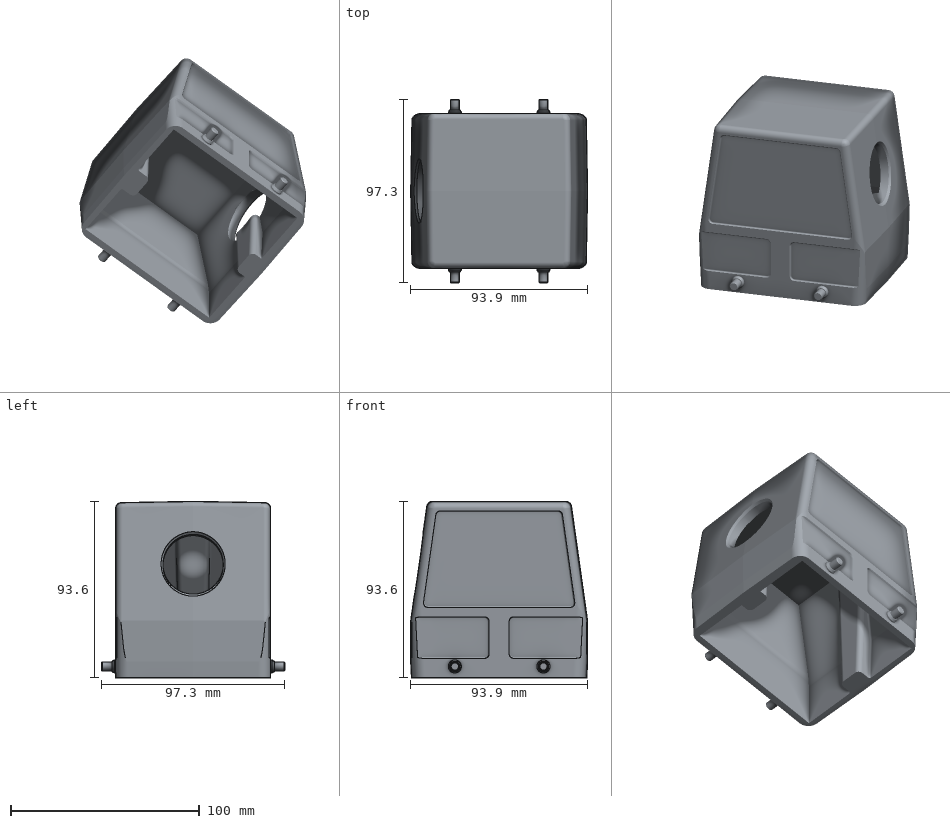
import math

import cadquery as cq

HEIGHT = 93.6
HALF_LENGTH = 46.94
HALF_DEPTH = 41.15
DRAFT = 1.0
SHOULDER_Z = 30.2
WALL_LEAN = 8.0
SKIRT_Z = 8.4
SKIRT_SLOPE = 0.05
SKIRT_CORNER_RADIUS = 6.5
UPPER_CORNER_RADIUS = 3.8
ROOF_EDGE_RADIUS = 3.3
OVERRUN = 5.0

ENTRY_WALL = 6.0
FAR_WALL = 4.1
LOWER_SIDE_WALL = 3.6
UPPER_SIDE_WALL = 4.0
ROOF = 4.0
SIDE_STEP_LOW_Z = 33.3
SIDE_STEP_HIGH_Z = 37.6
RIB_FACE_X = 34.5
RIB_HALF_WIDTH_TOP = 9.7
RIB_HALF_WIDTH_BOTTOM = 6.9
RIB_EDGE_RADIUS = 2.7
RIB_ROOT_RADIUS = 1.0

ENTRY_Z = 60.4
ENTRY_DIAMETER = 32.0
ENTRY_CHAMFER = 1.3
ENTRY_REACH = 15.0

RECESS_DEPTH = 0.9
RECESS_WALL_TAPER = 30.0
RECESS_CORNER_RADIUS = 2.5
RECESS_FLOOR_RADIUS = 0.4
PANEL_TOP_Z = 88.5
PANEL_BOTTOM_Z = 37.3
PANEL_HALF_WIDTH_BOTTOM = 40.5
POCKET_TOP_Z = 32.3
POCKET_BOTTOM_Z = 10.3
POCKET_INNER_X = 5.3

PIN_X = 23.5
PIN_Z = 6.0
PIN_TIP_Y = 48.65
PIN_RADIUS = 2.4
PIN_CHAMFER = 0.45
COLLAR_RADIUS = 3.45
COLLAR_LENGTH = 0.65
CONE_END_RADIUS = 2.75
CONE_END_LENGTH = 1.9
PIN_ROOT = 1.0

LEAN_SLOPE = math.tan(math.radians(WALL_LEAN))


def upper_half_length(z):
    """Half length along X of the leaning upper end walls, on the parting plane."""
    return HALF_LENGTH - LEAN_SLOPE * (z - SHOULDER_Z)


def skirt_half_length(z):
    """Half length along X of the skirt walls, on the parting plane."""
    return HALF_LENGTH + SKIRT_SLOPE * (z - SKIRT_Z)


def trapezoid(bottom_half, top_half, bottom_z, top_z):
    """Points of a trapezoid that is symmetric about the Z axis."""
    return [
        (-bottom_half, bottom_z),
        (bottom_half, bottom_z),
        (top_half, top_z),
        (-top_half, top_z),
    ]


def drafted_half(points):
    """Prism from the parting plane to the -Y side wall, narrowing with the draft."""
    return cq.Workplane("XZ").polyline(points).close().extrude(HALF_DEPTH, taper=DRAFT)


def both_sides(half):
    """Join a body on the -Y side with its mirror image."""
    return half.union(half.mirror("XZ"))


def roof_rim():
    """Selector for the edges around the roof, leaving out the one on the parting plane."""
    reach = HALF_LENGTH + HALF_DEPTH
    rim_low = HEIGHT - 2 * HALF_DEPTH * math.tan(math.radians(DRAFT))
    return cq.selectors.BoxSelector((-reach, -reach, rim_low), (reach, -1, HEIGHT + 1))


def outer_half():
    """The -Y half of the outer shell: three drafted prisms intersected."""
    over_top = HEIGHT + OVERRUN
    upper = drafted_half(
        trapezoid(upper_half_length(-OVERRUN), upper_half_length(HEIGHT), -OVERRUN, HEIGHT)
    )
    upper = upper.faces("<Y").edges("not(<Z or >Z)").fillet(UPPER_CORNER_RADIUS)
    upper = upper.edges(roof_rim()).fillet(ROOF_EDGE_RADIUS)

    band = drafted_half(trapezoid(HALF_LENGTH, HALF_LENGTH, -OVERRUN, over_top))

    skirt = drafted_half(
        trapezoid(skirt_half_length(-OVERRUN), skirt_half_length(over_top), -OVERRUN, over_top)
    )
    skirt = skirt.faces("<Y").edges("not(<Z or >Z)").fillet(SKIRT_CORNER_RADIUS)

    base_trim = cq.Workplane("XY").rect(4 * HALF_LENGTH, 4 * HALF_DEPTH).extrude(2 * HEIGHT)
    return upper.intersect(band).intersect(skirt).intersect(base_trim)


def cut_recess(half, sketch):
    """Sink a sloped-wall recess into the -Y side wall."""
    cutter = (
        cq.Workplane("XZ", origin=(0, -HALF_DEPTH, 0))
        .placeSketch(sketch)
        .extrude(-RECESS_DEPTH, taper=RECESS_WALL_TAPER)
    )
    cutter = cutter.faces(">Y").edges().fillet(RECESS_FLOOR_RADIUS)
    return half.cut(cutter)


def rounded_outline(points):
    """Sketch of a recess outline with rounded corners."""
    return cq.Sketch().polygon(points + points[:1]).vertices().fillet(RECESS_CORNER_RADIUS)


def cut_panel(half):
    """Large trapezoidal recess whose sides follow the leaning end walls."""
    top_half = PANEL_HALF_WIDTH_BOTTOM - LEAN_SLOPE * (PANEL_TOP_Z - PANEL_BOTTOM_Z)
    outline = trapezoid(PANEL_HALF_WIDTH_BOTTOM, top_half, PANEL_BOTTOM_Z, PANEL_TOP_Z)
    return cut_recess(half, rounded_outline(outline))


def cut_pockets(half):
    """Two recesses that run out through the rounded corners."""
    outer_x = HALF_LENGTH + OVERRUN
    for side in (-1, 1):
        outline = [
            (side * POCKET_INNER_X, POCKET_BOTTOM_Z),
            (side * outer_x, POCKET_BOTTOM_Z),
            (side * outer_x, POCKET_TOP_Z),
            (side * POCKET_INNER_X, POCKET_TOP_Z),
        ]
        half = cut_recess(half, rounded_outline(outline))
    return half


def pin(x):
    """Locking pin with a conical collar, pointing to -Y."""
    length = PIN_TIP_Y - HALF_DEPTH
    profile = [
        (0, -PIN_ROOT),
        (COLLAR_RADIUS, -PIN_ROOT),
        (COLLAR_RADIUS, COLLAR_LENGTH),
        (CONE_END_RADIUS, CONE_END_LENGTH),
        (PIN_RADIUS, CONE_END_LENGTH),
        (PIN_RADIUS, length - PIN_CHAMFER),
        (PIN_RADIUS - PIN_CHAMFER, length),
        (0, length),
    ]
    body = cq.Workplane("XY").polyline(profile).close().revolve(360, (0, 0), (0, 1))
    return body.mirror("XZ").translate((x, -HALF_DEPTH, PIN_Z))


def rib(side):
    """Rib inside an end wall: vertical inner face, rounded edges, narrower at the bottom."""
    outer_x = HALF_LENGTH + OVERRUN
    body = (
        cq.Workplane("YZ", origin=(side * RIB_FACE_X, 0, 0))
        .polyline(trapezoid(RIB_HALF_WIDTH_BOTTOM, RIB_HALF_WIDTH_TOP, 0, HEIGHT))
        .close()
        .extrude(side * (outer_x - RIB_FACE_X))
    )
    inner_face = "<X" if side > 0 else ">X"
    return body.faces(inner_face).edges("not(<Z or >Z)").fillet(RIB_EDGE_RADIUS)


def cavity():
    """Space inside the hood, open at the bottom."""
    ceiling = HEIGHT - ROOF
    lengthwise = [
        (-HALF_LENGTH + ENTRY_WALL, -OVERRUN),
        (HALF_LENGTH - FAR_WALL, -OVERRUN),
        (HALF_LENGTH - FAR_WALL, SHOULDER_Z),
        (upper_half_length(ceiling) - FAR_WALL, ceiling),
        (-upper_half_length(ceiling) + ENTRY_WALL, ceiling),
        (-HALF_LENGTH + ENTRY_WALL, SHOULDER_Z),
    ]
    lower_half = HALF_DEPTH - LOWER_SIDE_WALL
    upper_half = HALF_DEPTH - UPPER_SIDE_WALL
    crosswise = [
        (-lower_half, -OVERRUN),
        (lower_half, -OVERRUN),
        (lower_half, SIDE_STEP_LOW_Z),
        (upper_half, SIDE_STEP_HIGH_Z),
        (upper_half, ceiling),
        (-upper_half, ceiling),
        (-upper_half, SIDE_STEP_HIGH_Z),
        (-lower_half, SIDE_STEP_LOW_Z),
    ]
    along = cq.Workplane("XZ").polyline(lengthwise).close().extrude(HALF_DEPTH, both=True)
    across = cq.Workplane("YZ").polyline(crosswise).close().extrude(HALF_LENGTH, both=True)
    space = along.intersect(across).cut(rib(-1)).cut(rib(1))
    root_zone = cq.selectors.BoxSelector(
        (RIB_FACE_X + RIB_EDGE_RADIUS, -RIB_HALF_WIDTH_TOP, 0),
        (HALF_LENGTH, RIB_HALF_WIDTH_TOP, ceiling),
    )
    return space.edges(root_zone).edges("not(|X or |Y)").fillet(RIB_ROOT_RADIUS)


def cable_entry():
    """Chamfered bore, square to the leaning -X end wall."""
    lean = math.radians(WALL_LEAN)
    wall_plane = cq.Plane(
        origin=(-upper_half_length(ENTRY_Z), 0, ENTRY_Z),
        xDir=(0, 1, 0),
        normal=(math.cos(lean), 0, -math.sin(lean)),
    )
    radius = ENTRY_DIAMETER / 2
    bore = cq.Workplane(wall_plane).circle(radius).extrude(ENTRY_REACH)
    mouth = (
        cq.Workplane(wall_plane)
        .circle(radius + ENTRY_CHAMFER)
        .extrude(ENTRY_CHAMFER, taper=45)
    )
    return bore.union(mouth)


half_hood = cut_pockets(cut_panel(outer_half()))
for pin_x in (-PIN_X, PIN_X):
    half_hood = half_hood.union(pin(pin_x))

result = both_sides(half_hood).cut(cavity()).cut(cable_entry())